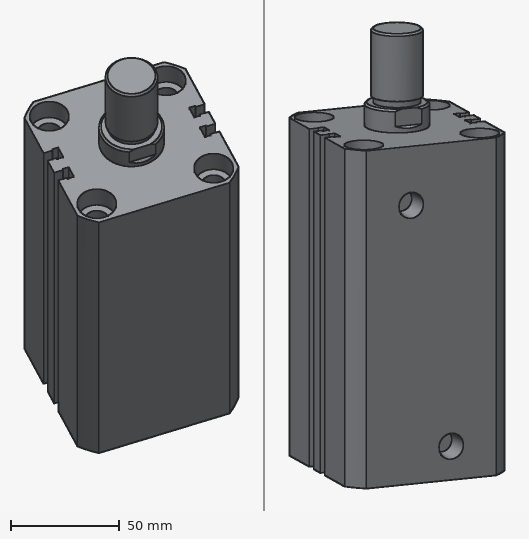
import cadquery as cq

housing_width = 80.0
housing_height = 160.0
corner_radius = 51.5

bolt_spacing = 58.0
bolt_hole_diameter = 11.0
counterbore_diameter = 18.0
counterbore_depth = 11.0

slot_offset = 6.5
slot_mouth_width = 5.0
slot_depth = 7.5
undercut_width = 6.4
undercut_height = 3.0

port_mouth_diameter = 12.2
port_end_diameter = 10.8
port_depth = 12.0
port_offset_y = 10.0
lower_port_z = 16.0
upper_port_z = 132.0

rod_length = 46.0
collar_diameter = 30.0
collar_height = 11.0
collar_chamfer = 1.0
neck_diameter = 22.0
neck_height = 3.0
thread_diameter = 24.0
thread_chamfer = 1.0

flat_width = 27.0
flat_bottom = 3.0
runout_drop = 1.0


def make_slot(x, side):
    """Undercut slot along the full height, on the +Y (side = 1) or -Y (side = -1) face."""
    face_y = side * housing_width / 2
    mouth = (
        cq.Workplane("XY")
        .center(x, face_y - side * slot_depth / 2)
        .rect(slot_mouth_width, slot_depth)
        .extrude(housing_height)
    )
    undercut = (
        cq.Workplane("XY")
        .center(x, face_y - side * (slot_depth - undercut_height / 2))
        .rect(undercut_width, undercut_height)
        .extrude(housing_height)
    )
    return mouth.union(undercut)


def make_port(y, z):
    """Blind hole running inward from the -X face and tapering evenly to its flat end."""
    profile = [
        (0, 0),
        (0, -port_mouth_diameter / 2),
        (port_depth, -port_end_diameter / 2),
        (port_depth, 0),
    ]
    port = cq.Workplane("XZ").polyline(profile).close().revolve(360, (0, 0, 0), (1, 0, 0))
    return port.translate((-housing_width / 2, y, z))


def make_housing():
    block = cq.Workplane("XY").rect(housing_width, housing_width).extrude(housing_height)
    corner_trim = cq.Workplane("XY").circle(corner_radius).extrude(housing_height)
    housing = (
        block.intersect(corner_trim)
        .faces(">Z")
        .workplane()
        .rect(bolt_spacing, bolt_spacing, forConstruction=True)
        .vertices()
        .cboreHole(bolt_hole_diameter, counterbore_diameter, counterbore_depth)
    )
    for side in (-1, 1):
        for x in (-slot_offset, slot_offset):
            housing = housing.cut(make_slot(x, side))
    housing = housing.cut(make_port(-port_offset_y, lower_port_z))
    housing = housing.cut(make_port(port_offset_y, upper_port_z))
    return housing


def make_flat_cutter(side):
    """Removes the collar outside one wrench flat, on the +X (side = 1) or -X (side = -1) side."""
    inner_x = flat_width / 2
    outer_x = collar_diameter / 2
    profile = [
        (side * inner_x, flat_bottom),
        (side * outer_x, flat_bottom - runout_drop),
        (side * outer_x, collar_height),
        (side * inner_x, collar_height),
    ]
    return cq.Workplane("XZ").polyline(profile).close().extrude(collar_diameter / 2, both=True)


def make_rod():
    """Rod end built upward from z = 0, then set on the top face of the housing."""
    collar = (
        cq.Workplane("XY")
        .circle(collar_diameter / 2)
        .extrude(collar_height)
        .faces(">Z")
        .chamfer(collar_chamfer)
    )
    for side in (-1, 1):
        collar = collar.cut(make_flat_cutter(side))
    neck = cq.Workplane("XY").workplane(offset=collar_height).circle(neck_diameter / 2).extrude(neck_height)
    thread_bottom = collar_height + neck_height
    thread = (
        cq.Workplane("XY")
        .workplane(offset=thread_bottom)
        .circle(thread_diameter / 2)
        .extrude(rod_length - thread_bottom)
        .faces(">Z")
        .chamfer(thread_chamfer)
    )
    return collar.union(neck).union(thread).translate((0, 0, housing_height))


housing = make_housing()
rod = make_rod()

result = cq.Compound.makeCompound([housing.val(), rod.val()])